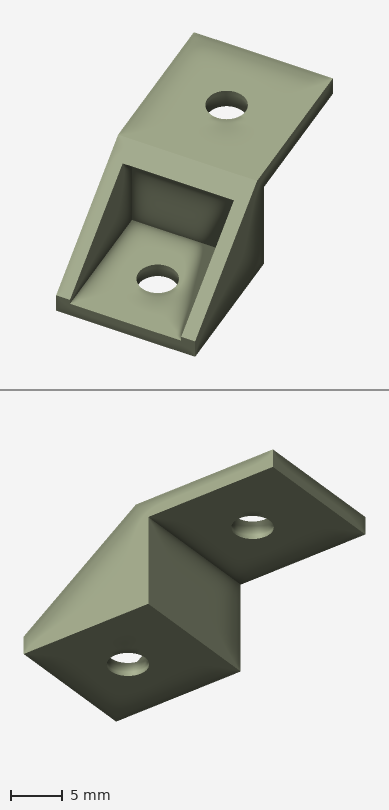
import cadquery as cq

width = 15.0
length = 30.0
height = 12.0

base_length = length / 2
flange_thickness = 2.0
front_edge_height = flange_thickness
slope_end = 13.5

side_wall = 1.5
floor_thickness = 1.5
roof_thickness = 1.5
back_wall = 1.5
pocket_length = base_length - back_wall
pocket_height = height - floor_thickness - roof_thickness

hole_diameter = 4.1
front_hole_y = 7.0
hole_spacing = 15.0


def make_body():
    """Side profile of base and flange, extruded across the width."""
    profile = [
        (0, 0),
        (base_length, 0),
        (base_length, height - flange_thickness),
        (length, height - flange_thickness),
        (length, height),
        (slope_end, height),
        (0, front_edge_height),
    ]
    return cq.Workplane("YZ").polyline(profile).close().extrude(width / 2, both=True)


def make_pocket():
    """Box between floor, roof and side walls; its other half lies in front of the part."""
    return (
        cq.Workplane("XY")
        .workplane(offset=floor_thickness)
        .rect(width - 2 * side_wall, 2 * pocket_length)
        .extrude(pocket_height)
    )


def make_holes():
    """Vertical through holes on the centre line."""
    centres = [(0, front_hole_y), (0, front_hole_y + hole_spacing)]
    return cq.Workplane("XY").pushPoints(centres).circle(hole_diameter / 2).extrude(height)


result = make_body().cut(make_pocket()).cut(make_holes())